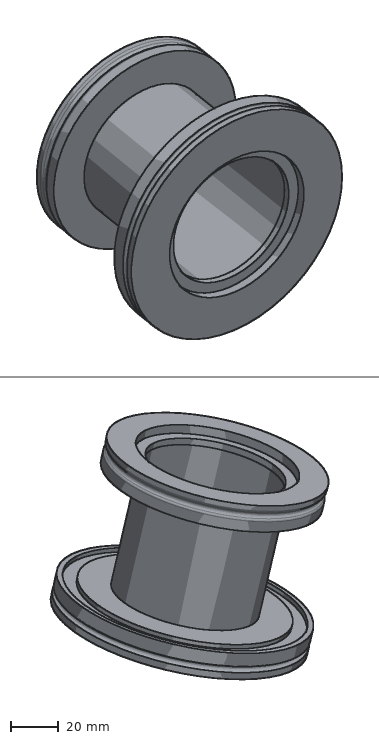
import cadquery as cq
import math

total_length = 76.2
flange_thickness = 12.0
small_flange_radius = 95.0 / 2
large_flange_radius = 110.0 / 2

recess_radius = 70.1 / 2
recess_depth = 4.0

bore_radius = 60.2 / 2
tube_radius = 63.5 / 2
lip_length = 3.0
seat_depth = flange_thickness - recess_depth - lip_length
tube_length = total_length - 2 * (flange_thickness - seat_depth)

smooth_groove_centre = 4.7
smooth_groove_half_width = 2.4
smooth_hollow_half_width = 1.3
smooth_groove_floor_radius = 92.2 / 2

round_groove_radius = 1.38
round_groove_centre = 7.5
round_groove_wall = 0.3

face_groove_outer_radius = 104.9 / 2
face_groove_inner_radius = 92.2 / 2
face_groove_depth = 2.0


def ring(outer_radius, inner_radius, length, start=0.0):
    """Ring about the X axis, running from start toward +X."""
    return (
        cq.Workplane("YZ", origin=(start, 0, 0))
        .circle(outer_radius)
        .circle(inner_radius)
        .extrude(length)
    )


def disc(radius, length, start=0.0):
    """Solid disc about the X axis, running from start toward +X."""
    return cq.Workplane("YZ", origin=(start, 0, 0)).circle(radius).extrude(length)


def flange_blank(radius):
    """Flange with its outer face at X = 0, bored, recessed and seated for the tube."""
    blank = ring(radius, bore_radius, flange_thickness)
    recess = disc(recess_radius, recess_depth)
    seat = disc(tube_radius, seat_depth, flange_thickness - seat_depth)
    return blank.cut(recess).cut(seat)


def revolve_about_x(profile):
    return profile.revolve(360, (0, 0, 0), (1, 0, 0))


def smooth_groove():
    depth = small_flange_radius - smooth_groove_floor_radius
    flank_angle = 2 * math.atan(depth / smooth_groove_half_width)
    shoulder_width = smooth_groove_half_width - smooth_hollow_half_width
    shoulder_radius = shoulder_width / math.sin(flank_angle)
    shoulder_drop = shoulder_radius * (1 - math.cos(flank_angle))
    middle_drop = shoulder_radius * (1 - math.cos(flank_angle / 2))
    middle_offset = smooth_groove_half_width - shoulder_radius * math.sin(flank_angle / 2)

    def point(offset, drop):
        return (smooth_groove_centre + offset, small_flange_radius - drop)

    profile = (
        cq.Workplane("XY")
        .moveTo(*point(-smooth_groove_half_width, 0))
        .threePointArc(
            point(-middle_offset, middle_drop), point(-smooth_hollow_half_width, shoulder_drop)
        )
        .threePointArc(point(0, depth), point(smooth_hollow_half_width, shoulder_drop))
        .threePointArc(point(middle_offset, middle_drop), point(smooth_groove_half_width, 0))
        .close()
    )
    return revolve_about_x(profile)


def round_groove(centre):
    """Groove with short straight walls and a semicircular floor."""
    wall_end_radius = large_flange_radius - round_groove_wall
    left = centre - round_groove_radius
    right = centre + round_groove_radius
    profile = (
        cq.Workplane("XY")
        .moveTo(left, large_flange_radius)
        .lineTo(left, wall_end_radius)
        .threePointArc((centre, wall_end_radius - round_groove_radius), (right, wall_end_radius))
        .lineTo(right, large_flange_radius)
        .close()
    )
    return revolve_about_x(profile)


def make_small_flange():
    return flange_blank(small_flange_radius).cut(smooth_groove())


def make_large_flange():
    inner_face = total_length - flange_thickness
    blank = flange_blank(large_flange_radius).mirror("YZ").translate((total_length, 0, 0))
    face_groove = ring(
        face_groove_outer_radius, face_groove_inner_radius, face_groove_depth, inner_face
    )
    return blank.cut(face_groove).cut(round_groove(inner_face + round_groove_centre))


def make_tube():
    return ring(tube_radius, bore_radius, tube_length, flange_thickness - seat_depth)


small_flange = make_small_flange()
large_flange = make_large_flange()
tube = make_tube()

result = cq.Compound.makeCompound([small_flange.val(), large_flange.val(), tube.val()])